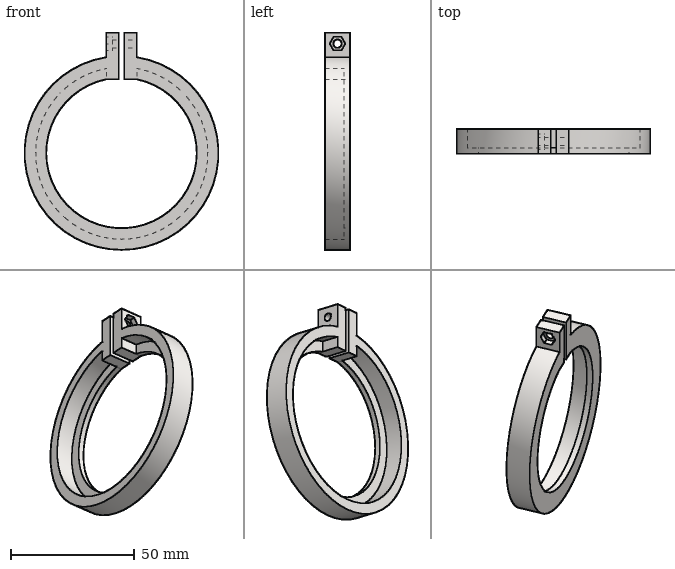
import cadquery as cq
import math

RING_WIDTH = 10.16
OUTER_RADIUS = 39.37
LIP_RADIUS = 30.48
SEAT_RADIUS = 34.925
LIP_WIDTH = 2.54

EARS_WIDTH = 12.446
EARS_TOP = 48.768
GAP_WIDTH = 2.032

SCREW_DROP = 4.445
SCREW_DIAMETER = 3.302
NUT_CORNERS = 6.35
NUT_DEPTH = 2.54

FRONT = -RING_WIDTH / 2
SCREW_HEIGHT = EARS_TOP - SCREW_DROP
EARS_BOTTOM = math.sqrt(LIP_RADIUS**2 - (EARS_WIDTH / 2) ** 2)


def disc(radius, start, length):
    """Cylinder about the Y axis, from y = start towards +Y."""
    return cq.Workplane("XZ", origin=(0, start, 0)).circle(radius).extrude(-length)


def block(width, bottom, top):
    """Box centred on X = 0, as wide along Y as the ring."""
    return cq.Workplane("XY", origin=(0, 0, bottom)).rect(width, RING_WIDTH).extrude(top - bottom)


def stepped_ring():
    ring = disc(OUTER_RADIUS, FRONT, RING_WIDTH)
    ring = ring.cut(disc(LIP_RADIUS, FRONT, RING_WIDTH))
    return ring.cut(disc(SEAT_RADIUS, FRONT + LIP_WIDTH, RING_WIDTH - LIP_WIDTH))


def split_ears(body):
    body = body.union(block(EARS_WIDTH, EARS_BOTTOM, EARS_TOP))
    return body.cut(block(GAP_WIDTH, 0, EARS_TOP))


def screw_and_nut(body):
    outer_face = cq.Workplane("YZ", origin=(-EARS_WIDTH / 2, 0, SCREW_HEIGHT))
    hole = outer_face.circle(SCREW_DIAMETER / 2).extrude(EARS_WIDTH)
    nut_pocket = outer_face.polygon(6, NUT_CORNERS).extrude(NUT_DEPTH)
    return body.cut(hole).cut(nut_pocket)


result = screw_and_nut(split_ears(stepped_ring()))